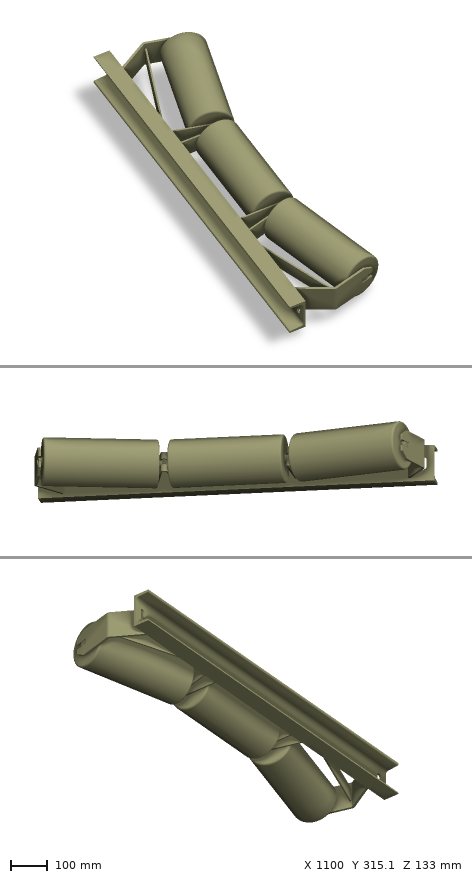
import cadquery as cq
import math


beam_length = 1100.0
beam_height = 100.0
beam_depth = 50.0
web_thickness = 6.0
flange_thickness = 8.5
flange_slope = 0.08
root_radius = 8.5
toe_radius = 4.0
slot_inset = 30.0
slot_width = 16.0
slot_height = 35.0

roller_diameter = 133.0
roller_length = 317.0
roller_edge_radius = 5.0
shaft_diameter = 26.0
flat_width = 15.0
seat_depth = 11.0
flat_lead = 2.0
roller_gap = 5.0
trough_angle = math.radians(15)
middle_roller_y = 166.0
side_roller_x = 348.0
side_roller_y = 211.0

bracket_width = 80.0
hairpin_width = 54.0
hairpin_thickness = 5.0
hairpin_bend_radius = 10.5
bracket_thickness = 7.2
bracket_bend_radius = 13.0
bracket_drop = 111.0
bracket_rise = 30.0
bracket_tip_width = 46.0
bracket_tip_length = 30.0
bracket_foot_angle = math.radians(30)
strut_thickness = 5.0
strut_width = 42.0
strut_angle = math.radians(20)
strut_offset = 10.0

face_distance = roller_length / 2 + roller_gap
shaft_half_length = face_distance + hairpin_thickness


def side_point(along, across):
    """Point of the XY plane, given along and across the axis of the +X roller."""
    x = side_roller_x + along * math.cos(trough_angle) - across * math.sin(trough_angle)
    y = side_roller_y + along * math.sin(trough_angle) + across * math.cos(trough_angle)
    return x, y


def plate_prism(points, width):
    """Outline in the XY plane, extruded along Z to a width centred on Z = 0."""
    outline = cq.Workplane("XY", origin=(0, 0, -width / 2)).polyline(points).close()
    return outline.extrude(width)


def tilted(body):
    """Move a body from the origin to the place of the +X roller."""
    turned = body.rotate((0, 0, 0), (0, 0, 1), math.degrees(trough_angle))
    return turned.translate((side_roller_x, side_roller_y, 0))


def mirrored_pair(body):
    return [body, body.mirror("YZ")]


def inside_edges(beam, y, z):
    """The two lengthwise edges on the inside of the channel at height y and at plus and minus z."""
    margin = 0.1
    low_corner = (-margin, y - margin, -z - margin)
    high_corner = (margin, y + margin, z + margin)
    return beam.edges("|X").edges(cq.selectors.BoxSelector(low_corner, high_corner))


def make_beam():
    inner_y = beam_depth - web_thickness
    half_height = beam_height / 2
    tip_z = half_height - flange_thickness + flange_slope * beam_depth / 2
    root_z = tip_z - flange_slope * inner_y
    section = [
        (beam_depth, -half_height),
        (beam_depth, half_height),
        (0, half_height),
        (0, tip_z),
        (inner_y, root_z),
        (inner_y, -root_z),
        (0, -tip_z),
        (0, -half_height),
    ]
    beam = cq.Workplane("YZ").polyline(section).close().extrude(beam_length / 2, both=True)

    beam = inside_edges(beam, inner_y, root_z).fillet(root_radius)
    beam = inside_edges(beam, 0, tip_z).fillet(toe_radius)

    slot_x = beam_length / 2 - slot_inset
    slots = (
        cq.Workplane("XZ")
        .pushPoints([(-slot_x, 0), (slot_x, 0)])
        .slot2D(slot_height, slot_width, 90)
        .extrude(-beam_depth)
    )
    return beam.cut(slots)


def cylinder(diameter, length):
    """Cylinder along X, centred on the origin."""
    return cq.Workplane("YZ", origin=(-length / 2, 0, 0)).circle(diameter / 2).extrude(length)


def seat_block(half_length):
    """Block between the shaft flats along the X axis, open upward past the top of every plate."""
    block_height = roller_diameter
    block = cq.Workplane("XY").box(2 * half_length, block_height, flat_width)
    return block.translate((0, block_height / 2 - seat_depth, 0))


def make_roller():
    """Roller with its shaft, along X and centred on the origin."""
    drum = cylinder(roller_diameter, roller_length).faces("<X or >X").edges().fillet(roller_edge_radius)
    round_shaft = cylinder(shaft_diameter, 2 * (face_distance - flat_lead))
    shaft_ends = cylinder(shaft_diameter, 2 * shaft_half_length).intersect(seat_block(shaft_half_length))
    return drum.union(round_shaft).union(shaft_ends)


def make_shaft_slot():
    """Cutter for the slots around both shaft ends of a roller at the origin, open upward."""
    return seat_block(face_distance + 2 * hairpin_bend_radius)


def hairpin_wedge(inset, bend_radius):
    """Wedge with a rounded top between the middle roller and the +X roller."""
    upright_x = face_distance + inset
    slant_x, slant_y = side_point(-face_distance - inset, 0)
    foot_x = slant_x + (slant_y - beam_depth) * math.tan(trough_angle)
    apex_y = beam_depth + (foot_x - upright_x) / math.tan(trough_angle)
    wedge = plate_prism([(upright_x, beam_depth), (foot_x, beam_depth), (upright_x, apex_y)], hairpin_width)
    return wedge.edges("|Z and >Y").fillet(bend_radius)


def make_hairpin():
    """Plate folded between the middle roller and the +X roller, holding a shaft end of each."""
    outside = hairpin_wedge(0, hairpin_bend_radius)
    inside = hairpin_wedge(hairpin_thickness, hairpin_bend_radius - hairpin_thickness)
    shaft_slot = make_shaft_slot()
    middle_slot = shaft_slot.translate((0, middle_roller_y, 0))
    return outside.cut(inside).cut(middle_slot).cut(tilted(shaft_slot))


def make_bracket():
    """Bent plate that holds the outer shaft end of the +X roller."""
    bend_angle = trough_angle + bracket_foot_angle
    bend_shift = bracket_thickness * math.tan(bend_angle / 2)
    outer_along = face_distance + bracket_thickness
    outer_bend = side_point(outer_along, -bracket_drop)
    inner_bend = side_point(face_distance, bend_shift - bracket_drop)

    def foot_below(bend):
        return bend[0] - (bend[1] - beam_depth) * math.tan(bracket_foot_angle), beam_depth

    outline = [
        side_point(face_distance, bracket_rise),
        side_point(outer_along, bracket_rise),
        outer_bend,
        foot_below(outer_bend),
        foot_below(inner_bend),
        inner_bend,
    ]
    bracket = plate_prism(outline, bracket_width)
    outer_edge = cq.selectors.NearestToPointSelector((*outer_bend, 0))
    inner_edge = cq.selectors.NearestToPointSelector((*inner_bend, 0))
    bracket = bracket.edges(outer_edge).fillet(bracket_bend_radius)
    bracket = bracket.edges(inner_edge).fillet(bracket_bend_radius - bracket_thickness)
    return bracket.cut(make_tip_cutter()).cut(tilted(make_shaft_slot()))


def make_tip_cutter():
    """Cutter that tapers both corners of the upper end of the +X bracket."""
    taper_start = bracket_rise - bracket_tip_length
    corner = [
        (taper_start, bracket_width / 2),
        (bracket_rise, bracket_tip_width / 2),
        (bracket_rise, bracket_width / 2),
    ]
    upper_cutter = (
        cq.Workplane("YZ", origin=(face_distance, 0, 0))
        .polyline(corner)
        .close()
        .extrude(bracket_thickness)
    )
    return tilted(upper_cutter.union(upper_cutter.mirror("XY")))


def make_strut(bracket):
    """Flat brace from the bend of the +X bracket down to the beam."""
    top_along_face = strut_offset - bracket_drop
    top = side_point(face_distance, top_along_face)
    normal_turn = strut_angle - trough_angle
    bottom = side_point(face_distance, top_along_face - strut_thickness / math.cos(normal_turn))

    def foot_below(start):
        return start[0] - (start[1] - beam_depth) / math.tan(strut_angle), beam_depth

    strut = plate_prism([top, foot_below(top), foot_below(bottom), bottom], strut_width)
    return strut.cut(bracket)


beam = make_beam()

roller = make_roller()
middle_roller = roller.translate((0, middle_roller_y, 0))
side_rollers = mirrored_pair(tilted(roller))

hairpins = mirrored_pair(make_hairpin())

bracket = make_bracket()
brackets = mirrored_pair(bracket)

struts = mirrored_pair(make_strut(bracket))

bodies = [beam, middle_roller, *side_rollers, *hairpins, *brackets, *struts]
result = cq.Compound.makeCompound([body.val() for body in bodies])